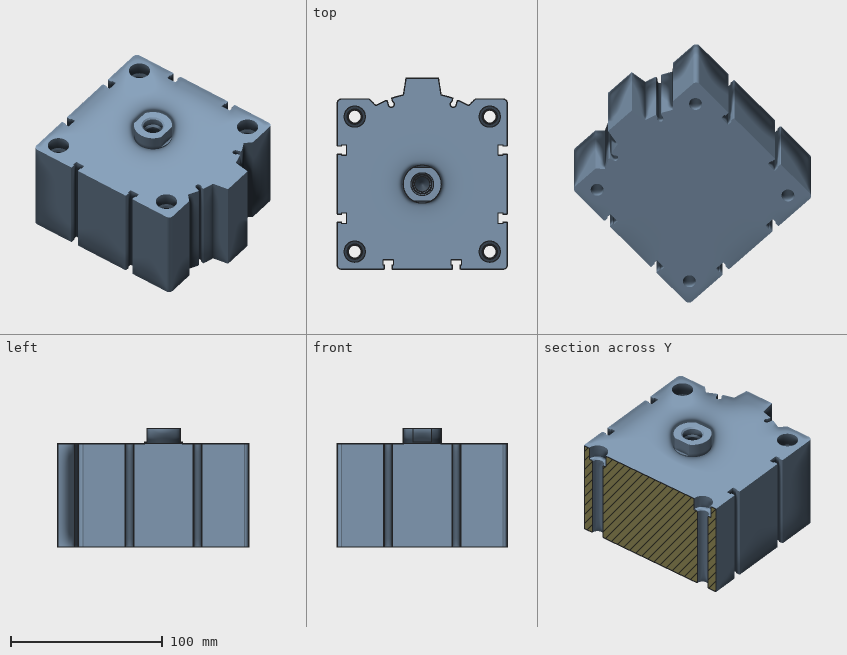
import cadquery as cq
import math

side = 112.2
half_side = side / 2
housing_height = 68.0
corner_radius = 3.0

overall_depth = 125.9
nose_tip_y = overall_depth - half_side
nose_tip_half_width = 10.7
nose_root_half_width = 12.5
shoulder_radius = 60.0
shoulder_end_x = 21.2

ridge_y = 55.0
ridge_outer_x = 24.2
valley_x = 30.6
valley_y = 51.7
valley_edge_x = valley_x + (half_side - valley_y)

sensor_bore_diameter = 3.9
sensor_bore_x = 20.4
sensor_bore_y = 52.6
sensor_neck_width = 3.1
sensor_neck_length = 6.3
sensor_tilt = 15.0

t_slot_offset = 22.4
t_slot_neck_width = 5.2
t_slot_neck_depth = 3.0
t_slot_width = 6.7
t_slot_depth = 6.2
t_slot_mouth_chamfer = 0.4

hole_offset = 44.5
hole_diameter = 8.4
hole_chamfer_diameter = 10.1
counterbore_diameter = 14.0
counterbore_depth = 9.0

rod_diameter = 25.0
rod_projection = 10.1
rod_embedment = 25.2
rod_bottom = housing_height - rod_embedment
rod_top = housing_height + rod_projection
flats_width = 22.0
flats_height = 9.1

socket_diameter = 13.0
socket_chamfer = 1.0
socket_depth = 5.7
pilot_mouth_diameter = 12.0
pilot_diameter = 10.1
pilot_depth = 17.6
drill_slope = math.tan(math.radians(30))


def shoulder_point(x):
    """Point of the shoulder arc at the given X."""
    return (x, math.sqrt(shoulder_radius**2 - x**2))


def make_block():
    """Square block with rounded corners, nose rail, shoulders, ridges and valleys."""
    shoulder_middle_x = (nose_root_half_width + shoulder_end_x) / 2
    right_outline = (
        cq.Workplane("XY")
        .moveTo(0, nose_tip_y)
        .lineTo(nose_tip_half_width, nose_tip_y)
        .lineTo(*shoulder_point(nose_root_half_width))
        .threePointArc(shoulder_point(shoulder_middle_x), shoulder_point(shoulder_end_x))
        .lineTo(shoulder_end_x, ridge_y)
        .lineTo(ridge_outer_x, ridge_y)
        .lineTo(valley_x, valley_y)
        .lineTo(valley_edge_x, half_side)
        .lineTo(half_side, half_side)
        .lineTo(half_side, -half_side)
        .lineTo(0, -half_side)
    )
    blank = right_outline.mirrorY().extrude(housing_height)
    left_corners = cq.selectors.BoxSelector(
        (-half_side - corner_radius, -side, 0), (-half_side + corner_radius, side, housing_height)
    )
    right_corners = cq.selectors.BoxSelector(
        (half_side - corner_radius, -side, 0), (half_side + corner_radius, side, housing_height)
    )
    return blank.edges("|Z").edges(left_corners + right_corners).fillet(corner_radius)


def sensor_slot():
    """Keyhole slot on the +X side of the nose; the neck's outer wall is tangent to the bore."""
    bore_radius = sensor_bore_diameter / 2
    bore = cq.Workplane("XY").circle(bore_radius).extrude(housing_height)
    neck = (
        cq.Workplane("XY")
        .center(bore_radius - sensor_neck_width / 2, sensor_neck_length / 2)
        .rect(sensor_neck_width, sensor_neck_length)
        .extrude(housing_height)
    )
    slot = bore.union(neck).rotate((0, 0, 0), (0, 0, 1), -sensor_tilt)
    return slot.translate((sensor_bore_x, sensor_bore_y, 0))


def t_slot():
    """T-slot with a chamfered mouth that runs up the middle of the -Y side."""
    neck = (
        cq.Workplane("XY")
        .center(0, -half_side + t_slot_depth / 2)
        .rect(t_slot_neck_width, t_slot_depth)
        .extrude(housing_height)
    )
    undercut = (
        cq.Workplane("XY")
        .center(0, -half_side + (t_slot_neck_depth + t_slot_depth) / 2)
        .rect(t_slot_width, t_slot_depth - t_slot_neck_depth)
        .extrude(housing_height)
    )
    mouth_half_width = t_slot_neck_width / 2 + t_slot_mouth_chamfer
    mouth = (
        cq.Workplane("XY")
        .moveTo(-mouth_half_width, -half_side)
        .lineTo(mouth_half_width, -half_side)
        .lineTo(t_slot_neck_width / 2, -half_side + t_slot_mouth_chamfer)
        .lineTo(-t_slot_neck_width / 2, -half_side + t_slot_mouth_chamfer)
        .close()
        .extrude(housing_height)
    )
    return neck.union(undercut).union(mouth)


def mounting_hole():
    """Through hole on the Z axis, revolved with its chamfer and counterbore."""
    hole_radius = hole_diameter / 2
    chamfer_radius = hole_chamfer_diameter / 2
    seat_z = housing_height - counterbore_depth
    section = [
        (0, 0),
        (hole_radius, 0),
        (hole_radius, seat_z - (chamfer_radius - hole_radius)),
        (chamfer_radius, seat_z),
        (counterbore_diameter / 2, seat_z),
        (counterbore_diameter / 2, housing_height),
        (0, housing_height),
    ]
    return cq.Workplane("XZ").polyline(section).close().revolve(360, (0, 0), (0, 1))


def make_housing():
    """Block with its sensor slots, T-slots, mounting holes and rod bore."""
    housing = make_block()

    right_sensor_slot = sensor_slot()
    housing = housing.cut(right_sensor_slot).cut(right_sensor_slot.mirror("YZ"))

    for turn in (-90, 0, 90):
        for offset in (-t_slot_offset, t_slot_offset):
            slot = t_slot().translate((offset, 0, 0))
            housing = housing.cut(slot.rotate((0, 0, 0), (0, 0, 1), turn))

    for x in (-hole_offset, hole_offset):
        for y in (-hole_offset, hole_offset):
            housing = housing.cut(mounting_hole().translate((x, y, 0)))

    rod_bore = (
        cq.Workplane("XY").workplane(offset=rod_bottom).circle(rod_diameter / 2).extrude(rod_embedment)
    )
    return housing.cut(rod_bore)


def rod_socket():
    """Chamfered socket above a chamfered pilot hole that ends in a drill point."""
    socket_radius = socket_diameter / 2
    pilot_mouth_radius = pilot_mouth_diameter / 2
    pilot_radius = pilot_diameter / 2
    socket_floor = rod_top - socket_depth
    pilot_floor = rod_top - pilot_depth
    section = [
        (0, rod_top),
        (socket_radius + socket_chamfer, rod_top),
        (socket_radius, rod_top - socket_chamfer),
        (socket_radius, socket_floor),
        (pilot_mouth_radius, socket_floor),
        (pilot_radius, socket_floor - (pilot_mouth_radius - pilot_radius)),
        (pilot_radius, pilot_floor),
        (0, pilot_floor - pilot_radius * drill_slope),
    ]
    return cq.Workplane("XZ").polyline(section).close().revolve(360, (0, 0), (0, 1))


def make_rod():
    """Round rod with two wrench flats, on the -Y and +Y sides, and a socket in its end."""
    rod = (
        cq.Workplane("XY")
        .workplane(offset=rod_bottom)
        .circle(rod_diameter / 2)
        .extrude(rod_top - rod_bottom)
    )
    flats_envelope = (
        cq.Workplane("XY")
        .workplane(offset=rod_top - flats_height)
        .rect(rod_diameter, flats_width)
        .extrude(flats_height)
    )
    flats_waste = (
        cq.Workplane("XY")
        .workplane(offset=rod_top - flats_height)
        .rect(2 * rod_diameter, 2 * rod_diameter)
        .extrude(flats_height)
        .cut(flats_envelope)
    )
    return rod.cut(flats_waste).cut(rod_socket())


housing = make_housing()
rod = make_rod()
result = cq.Compound.makeCompound([housing.val(), rod.val()])